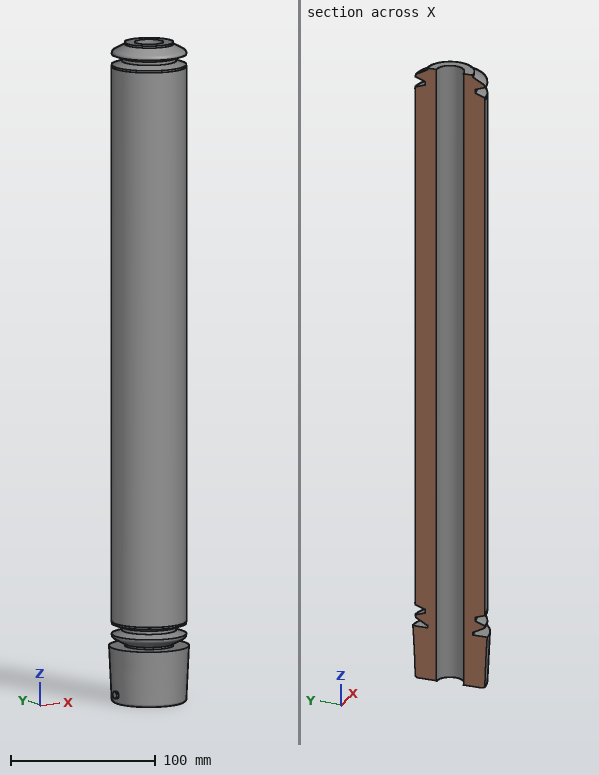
import cadquery as cq

total_height = 462.5
cap_height = 39.5

bore_diameter = 20.0
end_face_diameter = 34.0
neck_diameter = 37.5
collar_diameter = 52.0
tube_diameter = 52.5
cap_top_diameter = 55.5
cap_bottom_diameter = 52.0

end_lip_height = 1.5
end_cone_height = 4.0
tube_land_height = 1.5
collar_rim_height = 3.0
collar_rim_width = 1.5
groove_height = 7.5
neck_height = 2.5

cap_edge_radius = 2.5
boss_diameter = 5.0
boss_center_height = 7.0
boss_span = cap_top_diameter

collar_height = end_lip_height + end_cone_height + collar_rim_height
end_fitting_height = collar_height + groove_height + tube_land_height


def cylinder(diameter, bottom, height):
    return cq.Workplane("XY").workplane(offset=bottom).circle(diameter / 2).extrude(height)


def make_end_fitting():
    """Round-rimmed collar, ring groove and land, rising from z = 0 with the end face at the bottom."""
    slope_height = (groove_height - neck_height) / 2
    face_radius = end_face_diameter / 2
    neck_radius = neck_diameter / 2
    collar_radius = collar_diameter / 2
    cone_top = end_lip_height + end_cone_height
    neck_bottom = collar_height + slope_height
    groove_top = collar_height + groove_height
    return (
        cq.Workplane("XZ")
        .polyline([
            (0, 0),
            (face_radius, 0),
            (face_radius, end_lip_height),
            (collar_radius - collar_rim_width, cone_top),
        ])
        .tangentArcPoint((collar_radius, collar_height), relative=False)
        .polyline([
            (neck_radius, neck_bottom),
            (neck_radius, neck_bottom + neck_height),
            (collar_radius, groove_top),
            (collar_radius, end_fitting_height),
            (0, end_fitting_height),
        ], includeCurrent=True)
        .close()
        .revolve(360, (0, 0, 0), (0, 1, 0))
    )


def make_tube():
    """Long tube with the same fitting, mirrored, at each end."""
    fitting = make_end_fitting()
    lower_fitting = fitting.translate((0, 0, cap_height))
    upper_fitting = fitting.mirror("XY").translate((0, 0, total_height))
    tube_length = total_height - cap_height - 2 * end_fitting_height
    tube = cylinder(tube_diameter, cap_height + end_fitting_height, tube_length)
    return tube.union(lower_fitting).union(upper_fitting)


def make_cap():
    """Tapered bottom cap with a rounded lower edge."""
    cap = (
        cq.Workplane("XY")
        .circle(cap_bottom_diameter / 2)
        .workplane(offset=cap_height)
        .circle(cap_top_diameter / 2)
        .loft(ruled=True)
    )
    return cap.faces("<Z").edges().fillet(cap_edge_radius)


def make_bosses():
    """One round pin across the cap, standing out as a boss on each X side."""
    return (
        cq.Workplane("YZ")
        .center(0, boss_center_height)
        .circle(boss_diameter / 2)
        .extrude(boss_span / 2, both=True)
    )


bore = cylinder(bore_diameter, 0, total_height)
result = make_tube().union(make_cap()).union(make_bosses()).cut(bore)